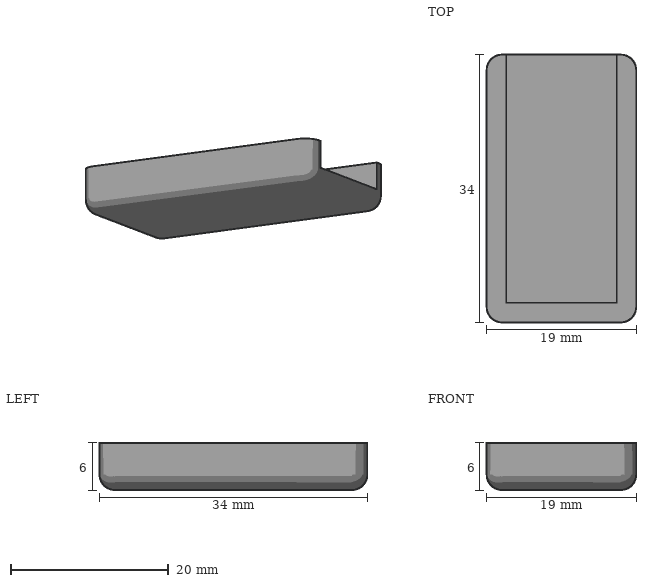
import cadquery as cq

width = 19.0
length = 34.0
height = 6.0
edge_radius = 2.0

wall = 2.5
pocket_depth = 3.5
pocket_width = width - 2 * wall
pocket_length = length - wall


def rounded_body():
    """Block with rounded upright corners and a rounded bottom rim, standing on Z = 0."""
    block = cq.Workplane("XY").box(width, length, height, centered=(True, True, False))
    return block.edges("|Z").fillet(edge_radius).faces("<Z").edges().fillet(edge_radius)


def tray_pocket():
    """Volume cut from the top, leaving walls on the -X, +X and -Y sides only."""
    pocket = cq.Workplane("XY").box(
        pocket_width, pocket_length, pocket_depth, centered=(True, False, False)
    )
    return pocket.translate((0, -length / 2 + wall, height - pocket_depth))


result = rounded_body().cut(tray_pocket())